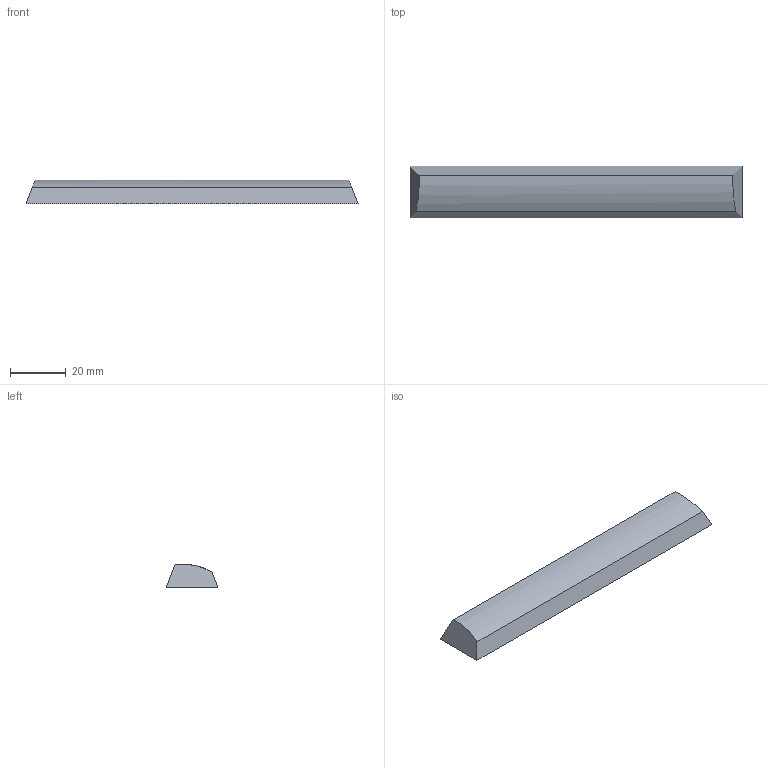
import cadquery as cq

length = 118.91
width = 18.6
height = 8.56

wall_slope = 21.0
crown_radius = 24.0
crown_apex_y = 4.0


def make_tapered_block():
    """Rectangular bar whose four walls lean inward, taller than the finished bar."""
    spare_height = 1.0
    return (
        cq.Workplane("XY")
        .rect(length, width)
        .extrude(height + spare_height, taper=wall_slope)
    )


def make_crown_cylinder():
    """Long cylinder whose upper surface is the crown of the bar."""
    return (
        cq.Workplane("YZ")
        .center(crown_apex_y, height - crown_radius)
        .circle(crown_radius)
        .extrude(length / 2, both=True)
    )


bar = make_tapered_block().intersect(make_crown_cylinder())

result = cq.Compound.makeCompound([bar.val()])